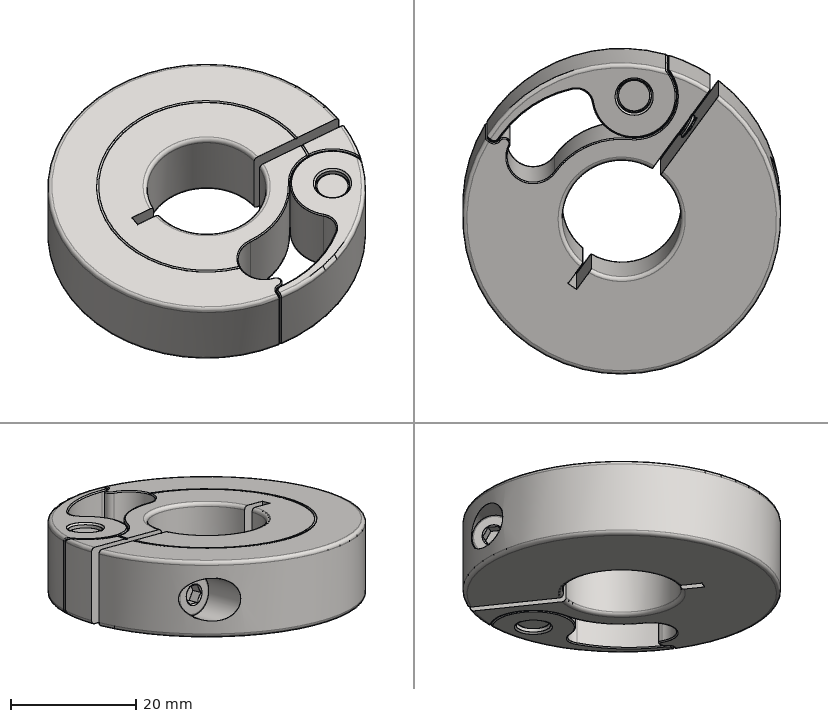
import cadquery as cq
import math


outer_radius = 25.4
thickness = 12.7
mid_height = thickness / 2
bore_radius = 9.5
rim_fillet = 0.65
slot_width = 1.7
relief_slot_end = 13.5
screw_offset = 17.4
groove_radius = 0.18

pivot_angle = math.radians(60)
pocket_radius = 6.85
pivot_distance = screw_offset / math.sin(pivot_angle)
pivot_x = pivot_distance * math.cos(pivot_angle)
pivot_y = screw_offset
web_radius = pivot_distance - pocket_radius
window_end_radius = screw_offset - web_radius
edge_chamfer = 0.2
clearance = 0.1

tooth_radius = 0.95
tooth_y = -0.9
tooth_x = screw_offset + math.sqrt((window_end_radius + tooth_radius) ** 2 - tooth_y ** 2)
catch_radius = 1.0
catch_x = tooth_x + tooth_radius + catch_radius

boss_radius = pocket_radius - clearance
arm_center_x = 4.45
arm_end_x = catch_x - catch_radius + clearance
arm_radius = arm_end_x - arm_center_x
crook_radius = 2.65
tip_radius = catch_radius - clearance

barrel_radius = 2.75
barrel_recess = 0.75
barrel_chamfer = 0.25
barrel_hole_chamfer = 0.3
thread_radius = 2.0
thread_depth = 0.3
thread_pitch = 0.7
thread_mouth = 0.65
thread_end_x = slot_width
mouth_margin = 0.025
head_radius = 3.5
head_height = 4.0
head_face_x = -14.35
head_seat_x = head_face_x + head_height
head_fillet = 0.3
counterbore_radius = 3.55
hex_across_flats = 3.0
hex_depth = 2.0
hex_lead_in_radius = 1.8
hex_lead_in_depth = 0.25

beyond = outer_radius + 2.55
tolerance = 0.001


def on_circle(center, radius, angle):
    return (center[0] + radius * math.cos(angle), center[1] + radius * math.sin(angle))


def direction(start, end):
    """Angle of the line from start to end."""
    return math.atan2(end[1] - start[1], end[0] - start[0])


def arc(outline, center, radius, start, end):
    """Adds an arc around center from angle start to angle end."""
    middle = on_circle(center, radius, (start + end) / 2)
    return outline.threePointArc(middle, on_circle(center, radius, end))


def rimmed_disc():
    """Solid disc with the rounded rim shared by ring and lever."""
    disc = cq.Workplane("XY").circle(outer_radius).extrude(thickness)
    return disc.faces("<Z or >Z").edges().fillet(rim_fillet)


def x_cylinder(radius, start_x, end_x):
    """Cylinder along the screw axis."""
    plane = cq.Workplane("YZ", origin=(start_x, pivot_y, mid_height))
    return plane.circle(radius).extrude(end_x - start_x)


def barrel_cylinder(bottom, top):
    """Cylinder along the pivot axis."""
    plane = cq.Workplane("XY", origin=(pivot_x, pivot_y, bottom))
    return plane.circle(barrel_radius).extrude(top - bottom)


def circular_edges(body, radius):
    """Selects the circular edges of the given radius."""
    circles = body.edges("%CIRCLE").vals()
    return body.newObject([edge for edge in circles if abs(edge.radius() - radius) < tolerance])


def chamfer_profile_edges(body):
    """Chamfers the edges that follow the cut profile, leaving the round rim and upright edges."""
    rim_radii = (outer_radius, outer_radius - rim_fillet)

    def follows_profile(edge):
        points = (edge.startPoint(), edge.positionAt(0.5), edge.endPoint())
        upright = abs(edge.tangentAt(0.5).z) > 1 - tolerance
        on_rim = any(
            all(abs(math.hypot(point.x, point.y) - radius) < tolerance for point in points)
            for radius in rim_radii
        )
        return not upright and not on_rim

    edges = [edge for edge in body.edges().vals() if follows_profile(edge)]
    return body.newObject(edges).chamfer(edge_chamfer)


def window_cutter():
    """Pivot pocket, window and tip catch: everything removed from the ring for the lever."""
    pivot = (pivot_x, pivot_y)
    window_end = (screw_offset, 0)
    tooth = (tooth_x, tooth_y)
    catch = (catch_x, tooth_y)
    tooth_angle = direction(window_end, tooth)
    outline = cq.Workplane("XY").moveTo(pivot_x, pivot_y + pocket_radius)
    outline = arc(outline, pivot, pocket_radius, math.pi / 2, math.pi + pivot_angle)
    outline = arc(outline, (0, 0), web_radius, pivot_angle, 0)
    outline = arc(outline, window_end, window_end_radius, -math.pi, tooth_angle)
    outline = arc(outline, tooth, tooth_radius, math.pi + tooth_angle, 0)
    outline = arc(outline, catch, catch_radius, math.pi, 1.5 * math.pi)
    outline = outline.lineTo(beyond, tooth_y - catch_radius).lineTo(beyond, pivot_y + pocket_radius)
    return outline.close().extrude(thickness)


def make_collar():
    """Slotted ring with the lever window, bore, face groove and screw hole."""
    collar = chamfer_profile_edges(rimmed_disc().cut(window_cutter()))
    collar = collar.cut(cq.Workplane("XY").circle(bore_radius).extrude(thickness))
    collar = circular_edges(collar, bore_radius).fillet(rim_fillet)

    groove = cq.Solid.makeTorus(screw_offset, groove_radius, cq.Vector(0, 0, thickness))
    collar = collar.cut(cq.Workplane(obj=groove))

    slot_length = beyond + relief_slot_end
    slot = cq.Workplane("XY").rect(slot_width, slot_length).extrude(thickness)
    collar = collar.cut(slot.translate((0, slot_length / 2 - relief_slot_end, 0)))

    collar = collar.cut(x_cylinder(counterbore_radius, -beyond, head_seat_x))
    return collar.cut(x_cylinder(thread_radius, head_seat_x, pivot_x))


def make_lever():
    """Lever with a round boss on the barrel pivot and a curved arm along the rim."""
    pivot = (pivot_x, pivot_y)
    arm = (arm_center_x, 0)
    tip = (catch_x, tooth_y)

    to_boss = boss_radius + crook_radius
    to_arm = arm_radius - crook_radius
    span = math.dist(pivot, arm)
    swing = math.acos((to_arm ** 2 + span ** 2 - to_boss ** 2) / (2 * to_arm * span))
    arm_angle = direction(arm, pivot) - swing
    crook = on_circle(arm, to_arm, arm_angle)
    boss_angle = direction(pivot, crook)

    outline = cq.Workplane("XY").moveTo(pivot_x, pivot_y + boss_radius)
    outline = arc(outline, pivot, boss_radius, math.pi / 2, 2 * math.pi + boss_angle)
    outline = arc(outline, crook, crook_radius, math.pi + boss_angle, arm_angle)
    outline = arc(outline, arm, arm_radius, arm_angle, 0)
    outline = outline.lineTo(arm_end_x, tooth_y)
    outline = arc(outline, tip, tip_radius, math.pi, 1.5 * math.pi)
    outline = outline.lineTo(beyond, tooth_y - tip_radius).lineTo(beyond, pivot_y + boss_radius)
    lever = rimmed_disc().intersect(outline.close().extrude(thickness))
    lever = chamfer_profile_edges(lever)

    lever = lever.cut(barrel_cylinder(0, thickness))
    lever = circular_edges(lever, barrel_radius).chamfer(barrel_hole_chamfer)
    return lever.cut(x_cylinder(thread_radius, 0, pivot_x))


def make_thread_groove(start_x, end_x):
    """Helical V groove along the screw shank."""
    helix = cq.Wire.makeHelix(thread_pitch, end_x - start_x, thread_radius)
    half_mouth = thread_mouth / 2
    mouth_radius = thread_radius + mouth_margin
    profile = cq.Workplane("XZ").polyline([
        (mouth_radius, -half_mouth),
        (thread_radius - thread_depth, 0),
        (mouth_radius, half_mouth),
    ]).close()
    groove = profile.sweep(cq.Workplane(obj=helix), isFrenet=True)
    return groove.rotate((0, 0, 0), (0, 1, 0), 90).translate((start_x, pivot_y, mid_height))


def make_screw():
    """Socket-head screw whose shank is fixed in the upright barrel pivot."""
    head = x_cylinder(head_radius, head_face_x, head_seat_x).faces("<X").edges().fillet(head_fillet)
    socket = cq.Workplane("YZ", origin=(head_face_x, pivot_y, mid_height))
    socket = socket.polygon(6, hex_across_flats / math.cos(math.pi / 6)).extrude(hex_depth)
    lead_in = cq.Solid.makeCone(
        hex_lead_in_radius,
        hex_lead_in_radius - hex_lead_in_depth,
        hex_lead_in_depth,
        cq.Vector(head_face_x, pivot_y, mid_height),
        cq.Vector(1, 0, 0),
    )
    head = head.cut(socket).cut(cq.Workplane(obj=lead_in))

    shank = x_cylinder(thread_radius, head_seat_x, pivot_x)
    shank = shank.cut(make_thread_groove(-thread_end_x, thread_end_x))
    barrel = barrel_cylinder(barrel_recess, thickness - barrel_recess)
    barrel = barrel.faces("<Z or >Z").edges().chamfer(barrel_chamfer)
    return head.union(shank).union(barrel)


collar = make_collar()
lever = make_lever()
screw = make_screw()

result = cq.Compound.makeCompound([body.solids().val() for body in (collar, lever, screw)])